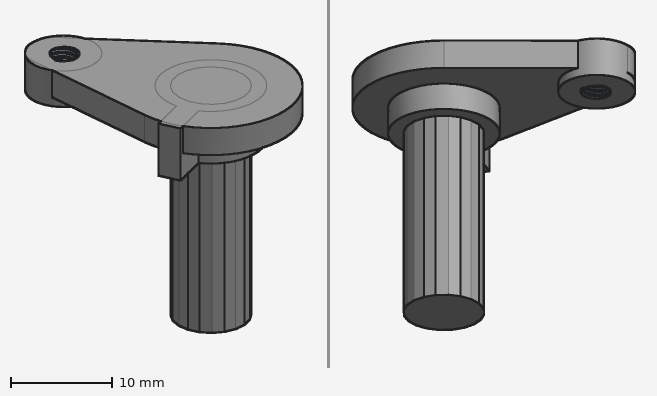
import cadquery as cq
import math

overall_length = 28.97
overall_width = 18.57
overall_height = 25.4

plate_thickness = 3.0
head_radius = 9.05
tip_radius = 3.0
tip_x = head_radius + tip_radius - overall_length

boss_diameter = 7.6
boss_height = 4.0
tip_overhang = 0.043
boss_x = tip_x - tip_radius + tip_overhang + boss_diameter / 2

thread_minor_diameter = 2.7
thread_pitch = 0.5
thread_depth = 0.25
thread_root_width = thread_pitch / 8
thread_flank_angle = math.radians(30)

collar_diameter = 11.0
collar_height = 5.8
key_width = 2.43
key_reach = overall_width - head_radius

shaft_diameter = 8.0
shaft_sides = 20


def cylinder_down(diameter, height, x=0.0):
    """Upright cylinder hanging down from the top face."""
    return cq.Workplane("XY").center(x, 0).circle(diameter / 2).extrude(-height)


def make_plate():
    """Two end arcs joined by their common tangent lines."""
    taper = math.asin((head_radius - tip_radius) / -tip_x)

    def tangent_point(center_x, radius, side):
        return (center_x - radius * math.sin(taper), side * radius * math.cos(taper))

    return (
        cq.Workplane("XY")
        .moveTo(*tangent_point(0, head_radius, -1))
        .threePointArc((head_radius, 0), tangent_point(0, head_radius, 1))
        .lineTo(*tangent_point(tip_x, tip_radius, 1))
        .threePointArc((tip_x - tip_radius, 0), tangent_point(tip_x, tip_radius, -1))
        .close()
        .extrude(-plate_thickness)
    )


def make_keyed_collar():
    """Round collar with a radial key that passes the plate rim on the -Y side."""
    key = (
        cq.Workplane("XY")
        .center(0, -key_reach / 2)
        .rect(key_width, key_reach)
        .extrude(-collar_height)
    )
    return cylinder_down(collar_diameter, collar_height).union(key)


def make_shaft():
    """Regular prism running the full height of the part."""
    half_facet = 180 / shaft_sides
    return (
        cq.Workplane("XY")
        .polygon(shaft_sides, shaft_diameter)
        .extrude(-overall_height)
        .rotate((0, 0, 0), (0, 0, 1), half_facet)
    )


def make_thread_groove():
    """Helical trapezoidal groove that runs out past both ends of the hole."""
    turns_below_top = math.ceil(boss_height / thread_pitch) + 1
    turns_above_top = 1
    start_z = -turns_below_top * thread_pitch
    helix_height = (turns_below_top + turns_above_top) * thread_pitch

    minor_radius = thread_minor_diameter / 2
    root_radius = minor_radius + thread_depth
    overlap = 0.05
    inner_radius = minor_radius - overlap
    root_half = thread_root_width / 2
    mouth_half = root_half + (root_radius - inner_radius) * math.tan(thread_flank_angle)

    helix = cq.Workplane(cq.Wire.makeHelix(thread_pitch, helix_height, minor_radius))
    groove = (
        cq.Workplane("XZ")
        .polyline(
            [
                (inner_radius, -mouth_half),
                (root_radius, -root_half),
                (root_radius, root_half),
                (inner_radius, mouth_half),
            ]
        )
        .close()
        .sweep(helix, isFrenet=True)
    )
    return groove.translate((boss_x, 0, start_z))


body = make_plate()
for piece in (
    cylinder_down(boss_diameter, boss_height, boss_x),
    make_keyed_collar(),
    make_shaft(),
):
    body = body.union(piece, clean=False)

threaded_hole = cylinder_down(thread_minor_diameter, boss_height, boss_x)
result = body.cut(make_thread_groove(), clean=False).cut(threaded_hole, clean=False)